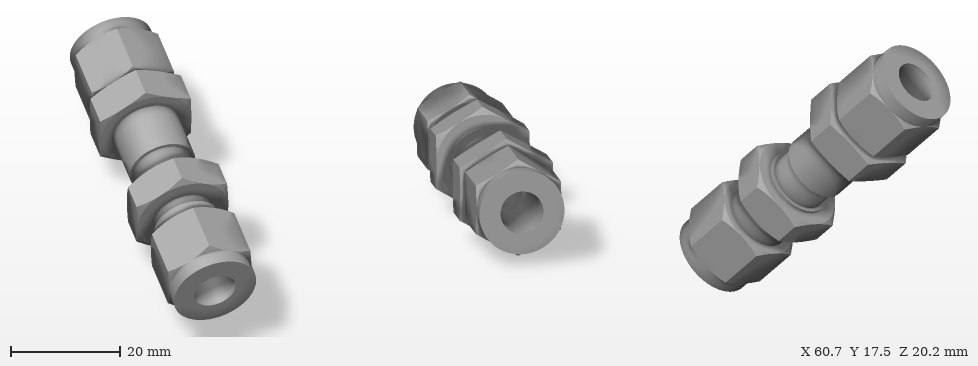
import cadquery as cq
import math

LENGTH = 60.7

NUT_FLATS = 15.9
NUT_COLLAR_LENGTH = 2.75
NUT_HEX_LENGTH = 10.75
NUT_LENGTH = NUT_COLLAR_LENGTH + NUT_HEX_LENGTH

LARGE_FLATS = 17.5
LARGE_HEX_LENGTH = 6.45
BODY_HEX_START = 14.1
LOCKNUT_START = 35.65

BODY_DIAMETER = 12.7
THREAD_DIAMETER = 11.2
SHOULDER_END = 30.05
WASHER_THICKNESS = 0.55
THREAD_END = 44.2

BORE_DIAMETER = 6.4
SOCKET_DIAMETER = 8.0
SOCKET_DEPTH = 15.2

NUT_CHAMFER_ANGLE = 30.0
BODY_HEX_CHAMFER_ANGLE = 15.0

HEX_SIDES = 6
SIDE_ANGLE = 2 * math.pi / HEX_SIDES


def cylinder(start, length, diameter):
    """Solid cylinder on the X axis."""
    return cq.Workplane("YZ", origin=(start, 0, 0)).circle(diameter / 2).extrude(length)


def hex_prism(start, length, flats, chamfer_angle):
    """Hex with flats facing +/-Y and its corners turned down conically at both faces.

    The cones meet the end faces on the circle that touches the flats.
    """
    face_radius = flats / 2
    corner_radius = face_radius / math.cos(SIDE_ANGLE / 2)
    chamfer = (corner_radius - face_radius) * math.tan(math.radians(chamfer_angle))
    end = start + length

    corners = [
        (corner_radius * math.sin(i * SIDE_ANGLE), corner_radius * math.cos(i * SIDE_ANGLE))
        for i in range(HEX_SIDES)
    ]
    prism = cq.Workplane("YZ", origin=(start, 0, 0)).polyline(corners).close().extrude(length)
    turned_blank = (
        cq.Workplane("XZ")
        .moveTo(start, 0)
        .lineTo(start, face_radius)
        .lineTo(start + chamfer, corner_radius)
        .lineTo(end - chamfer, corner_radius)
        .lineTo(end, face_radius)
        .lineTo(end, 0)
        .close()
        .revolve(360, (0, 0, 0), (1, 0, 0))
    )
    return prism.intersect(turned_blank)


core = cylinder(NUT_LENGTH, LENGTH - 2 * NUT_LENGTH, THREAD_DIAMETER)

shoulder = cylinder(NUT_LENGTH, SHOULDER_END - NUT_LENGTH, BODY_DIAMETER)
neck = cylinder(THREAD_END, LENGTH - NUT_LENGTH - THREAD_END, BODY_DIAMETER)

body_hex = hex_prism(BODY_HEX_START, LARGE_HEX_LENGTH, LARGE_FLATS, BODY_HEX_CHAMFER_ANGLE)
locknut = hex_prism(LOCKNUT_START, LARGE_HEX_LENGTH, LARGE_FLATS, NUT_CHAMFER_ANGLE)
washer_face = cylinder(LOCKNUT_START - WASHER_THICKNESS, WASHER_THICKNESS, BODY_DIAMETER)

result = core
for piece in (shoulder, neck, body_hex, locknut, washer_face):
    result = result.union(piece)

for collar_start, hex_start in (
    (0, NUT_COLLAR_LENGTH),
    (LENGTH - NUT_COLLAR_LENGTH, LENGTH - NUT_LENGTH),
):
    result = result.union(cylinder(collar_start, NUT_COLLAR_LENGTH, NUT_FLATS))
    result = result.union(hex_prism(hex_start, NUT_HEX_LENGTH, NUT_FLATS, NUT_CHAMFER_ANGLE))

result = result.cut(cylinder(0, LENGTH, BORE_DIAMETER))
for socket_start in (0, LENGTH - SOCKET_DEPTH):
    result = result.cut(cylinder(socket_start, SOCKET_DEPTH, SOCKET_DIAMETER))